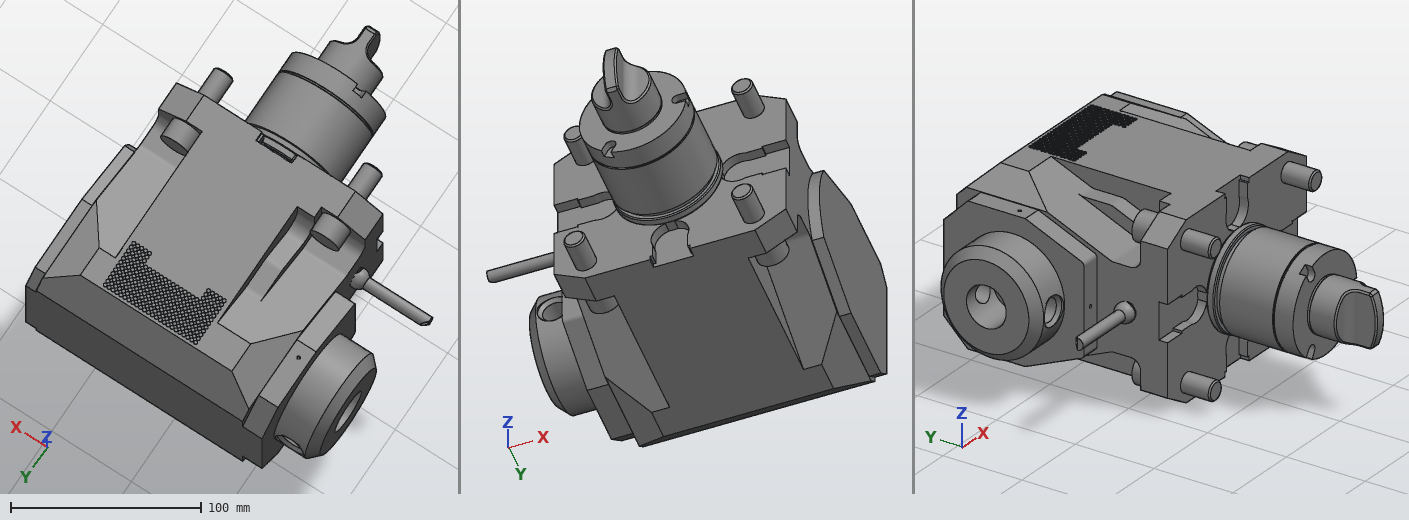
import cadquery as cq
import math


HALF_WIDTH = 65.0
HALF_HEIGHT = 54.0
BACK_Y = 133.8
SIDE_BEVEL_WIDTH = 17.3
SIDE_BEVEL_ANGLE = 30.0
BACK_CHAMFER = 16.0
FLANGE_THICKNESS = 17.0

SLOPE = math.tan(math.radians(23.0))
RECESS_WALL_X = 37.5
RECESS_TOP_Y = 99.8
RECESS_FLOOR_Z = 26.5
RECESS_FILLET = 6.5
LEDGE_WALL_X = -26.8
LEDGE_Z = 42.7
LEDGE_EDGE_Y = 54.0
LEDGE_END_Y = 23.8
LEDGE_FILLET = 8.5
CUT_MARGIN = 4.5

SLOT_DEPTH = 5.6
SLOT_MOUTH_HALF = 11.2
SLOT_MOUTH_LENGTH_X = 13.3
SLOT_MOUTH_LENGTH_Z = 2.7
SLOT_NECK_HALF = 10.0
SLOT_END_RADIUS = 10.5
SLOT_END_CENTER = 38.7

PLATE_HALF_HEIGHT = 43.5
DRIVE_Y = 89.7
LEFT_PLATE_THICKNESS = 12.1
LEFT_PLATE_FRONT_Y = 44.7
LEFT_PLATE_SLOPE_Y = 82.0
LEFT_PLATE_CHAMFER = 15.3
LEFT_PLATE_FILLET = 3.0
PIN_HOLE_DIAMETER = 1.8
PIN_HOLE_DEPTH = 2.2
RIGHT_PLATE_THICKNESS = 6.5
RIGHT_PLATE_SLOPE_Y = 80.3
RIGHT_PLATE_RADIUS = 56.9
RIGHT_PLATE_CORNER_Z = 26.8
RIGHT_PLATE_CHAMFER = 9.0

COLLAR_DIAMETER = 65.2
COLLAR_LENGTH = 25.2
COLLAR_CHAMFER = 5.6
COLLAR_BORE = 25.2
CROSS_HOLE_DIAMETER = 14.0
CROSS_HOLE_MOUTH = 18.0
CROSS_HOLE_SETBACK = 10.0

PIPE_Y = 25.9
PIPE_DIAMETER = 7.0
PIPE_TIP_X = -111.0
OUTLET_DIAMETER = 4.0
OUTLET_DEPTH = 3.5
BALL_DIAMETER = 12.0
BALL_X = -66.8

BOLT_X = 47.0
BOLT_Z = 42.0
BOLT_HEAD_DIAMETER = 18.0
BOLT_HEAD_HEIGHT = 11.7
BOLT_DIAMETER = 12.0
BOLT_REACH = 18.5
BOLT_CHAMFER = 1.0

SLEEVE_RADIUS = 30.0
RING_RADIUS = 30.3
RING_START = 1.1
RING_END = 5.8
RING_CHAMFER = 0.7
NECK_RADIUS = 28.5
SEAL_GROOVE_RADIUS = 27.7
SEAL_GROOVE_END = 9.2
NOSE_GROOVE_START = 42.7
NOSE_GROOVE_END = 43.8
NOSE_GROOVE_RADIUS = 29.0
NOSE_END = 55.8
KEY_COUNT = 3
KEY_WIDTH = 6.3
KEY_DEPTH = 4.3
KEY_CENTER_RADIUS = 25.2

SHAFT_DIAMETER = 33.5
SHAFT_RADIUS = SHAFT_DIAMETER / 2
SHAFT_RELIEF_DIAMETER = 33.0
SHAFT_RELIEF_LENGTH = 1.3
SHOULDER = 73.7
TONGUE_THICKNESS = 7.5
TONGUE_HALF = TONGUE_THICKNESS / 2
TONGUE_FILLET = 6.3
TONGUE_EDGE_CHAMFER = 1.0
TIP_CHAMFER_START = 85.9
TIP_CHAMFER_LENGTH = 2.0
TIP_CHAMFER_DROP = 1.3
TIP = 91.0

DOT_DIAMETER = 2.1
DOT_PITCH = 2.5
DOT_COLUMNS = 24
DOT_ROWS = 12
DOT_DEPTH = 0.5
DOT_FIELD_X = (LEDGE_WALL_X + RECESS_WALL_X) / 2
DOT_FIELD_Y = 101.4
SHORT_ROWS = 3
SHORT_ROW_DOTS = 5


def x_cylinder(diameter, x_start, x_end, y):
    """Cylinder along X at height zero."""
    return cq.Workplane("YZ", origin=(x_start, y, 0)).circle(diameter / 2).extrude(x_end - x_start)


def y_cylinder(diameter, y_start, y_end, x, z):
    """Cylinder along Y."""
    return cq.Workplane("XZ", origin=(x, y_start, z)).circle(diameter / 2).extrude(y_start - y_end)


def slab_x(profile_yz, x_start, x_end):
    """Closed YZ outline extruded along X."""
    return cq.Workplane("YZ", origin=(x_start, 0, 0)).polyline(profile_yz).close().extrude(x_end - x_start)


def make_housing():
    flat_half = HALF_WIDTH - SIDE_BEVEL_WIDTH
    bevel_z = HALF_HEIGHT - SIDE_BEVEL_WIDTH * math.tan(math.radians(SIDE_BEVEL_ANGLE))
    outline = [
        (-HALF_WIDTH, -bevel_z),
        (-flat_half, -HALF_HEIGHT),
        (flat_half, -HALF_HEIGHT),
        (HALF_WIDTH, -bevel_z),
        (HALF_WIDTH, bevel_z),
        (flat_half, HALF_HEIGHT),
        (-flat_half, HALF_HEIGHT),
        (-HALF_WIDTH, bevel_z),
    ]
    body = cq.Workplane("XZ").polyline(outline).close().extrude(-BACK_Y)
    chamfer_y = BACK_Y - BACK_CHAMFER
    chamfer_z = HALF_HEIGHT - BACK_CHAMFER
    side = [
        (0, -HALF_HEIGHT),
        (chamfer_y, -HALF_HEIGHT),
        (BACK_Y, -chamfer_z),
        (BACK_Y, chamfer_z),
        (chamfer_y, HALF_HEIGHT),
        (0, HALF_HEIGHT),
    ]
    return body.intersect(slab_x(side, -HALF_WIDTH, HALF_WIDTH))


def bolt_recess():
    """Relief on the upper right of the housing: flange back, floor and rising slope."""
    top_z = HALF_HEIGHT + CUT_MARGIN
    foot_y = RECESS_TOP_Y - (HALF_HEIGHT - RECESS_FLOOR_Z) / SLOPE
    profile = [
        (FLANGE_THICKNESS, top_z),
        (FLANGE_THICKNESS, RECESS_FLOOR_Z),
        (foot_y, RECESS_FLOOR_Z),
        (RECESS_TOP_Y + CUT_MARGIN / SLOPE, top_z),
    ]
    recess = slab_x(profile, RECESS_WALL_X, HALF_WIDTH + CUT_MARGIN)
    return recess.edges("|X").edges("<Z").fillet(RECESS_FILLET)


def ledge_cut():
    """Stepped widening of the upper left relief, with a flat ledge between two slopes."""
    top_z = HALF_HEIGHT + CUT_MARGIN
    ledge_back_y = RECESS_TOP_Y - (HALF_HEIGHT - LEDGE_Z) / SLOPE
    low_z = LEDGE_Z - (LEDGE_EDGE_Y - LEDGE_END_Y) * SLOPE
    profile = [
        (LEDGE_END_Y, top_z),
        (LEDGE_END_Y, low_z),
        (LEDGE_EDGE_Y, LEDGE_Z),
        (ledge_back_y, LEDGE_Z),
        (RECESS_TOP_Y + CUT_MARGIN / SLOPE, top_z),
    ]
    cut = slab_x(profile, -RECESS_WALL_X, LEDGE_WALL_X)
    below_top = cq.selectors.BoxSelector(
        (-HALF_WIDTH, 0, 0), (HALF_WIDTH, BACK_Y, HALF_HEIGHT)
    )
    return cut.edges("|X").edges(below_top).fillet(LEDGE_FILLET)


def face_slot(outer_half, mouth_length):
    """Slot in the flange face, running inward from the +X edge to the spindle."""
    neck_length = outer_half - SLOT_END_CENTER
    mouth = cq.Workplane("XY").box(mouth_length, SLOT_DEPTH, 2 * SLOT_MOUTH_HALF)
    mouth = mouth.translate((outer_half - mouth_length / 2, SLOT_DEPTH / 2, 0))
    neck = cq.Workplane("XY").box(neck_length, SLOT_DEPTH, 2 * SLOT_NECK_HALF)
    neck = neck.translate((outer_half - neck_length / 2, SLOT_DEPTH / 2, 0))
    end = y_cylinder(2 * SLOT_END_RADIUS, SLOT_DEPTH, 0, SLOT_END_CENTER, 0)
    return mouth.union(neck).union(end)


def make_left_plate():
    corner_z = PLATE_HALF_HEIGHT - (LEFT_PLATE_SLOPE_Y - LEFT_PLATE_FRONT_Y) * SLOPE
    upper = [
        (LEFT_PLATE_FRONT_Y, corner_z),
        (LEFT_PLATE_SLOPE_Y, PLATE_HALF_HEIGHT),
        (BACK_Y - LEFT_PLATE_CHAMFER, PLATE_HALF_HEIGHT),
        (BACK_Y, PLATE_HALF_HEIGHT - LEFT_PLATE_CHAMFER),
    ]
    lower = [(y, -z) for y, z in reversed(upper)]
    outer_x = -HALF_WIDTH - LEFT_PLATE_THICKNESS
    plate = slab_x(upper + lower, outer_x, -HALF_WIDTH)
    plate = plate.edges("|X").edges("<Y").fillet(LEFT_PLATE_FILLET)
    middle_x = -HALF_WIDTH - LEFT_PLATE_THICKNESS / 2
    top_hole = (
        cq.Workplane("XY", origin=(middle_x, DRIVE_Y, PLATE_HALF_HEIGHT))
        .circle(PIN_HOLE_DIAMETER / 2)
        .extrude(-PIN_HOLE_DEPTH)
    )
    front_hole = y_cylinder(
        PIN_HOLE_DIAMETER, LEFT_PLATE_FRONT_Y + PIN_HOLE_DEPTH, LEFT_PLATE_FRONT_Y, middle_x, 0
    )
    return plate.cut(top_hole).cut(front_hole)


def make_right_plate():
    corner_reach = math.sqrt(RIGHT_PLATE_RADIUS**2 - RIGHT_PLATE_CORNER_Z**2)
    corner_y = DRIVE_Y - corner_reach
    chamfer_y = BACK_Y - RIGHT_PLATE_CHAMFER
    chamfer_z = PLATE_HALF_HEIGHT - RIGHT_PLATE_CHAMFER
    return (
        cq.Workplane("YZ", origin=(HALF_WIDTH, 0, 0))
        .moveTo(corner_y, RIGHT_PLATE_CORNER_Z)
        .lineTo(RIGHT_PLATE_SLOPE_Y, PLATE_HALF_HEIGHT)
        .lineTo(chamfer_y, PLATE_HALF_HEIGHT)
        .lineTo(BACK_Y, chamfer_z)
        .lineTo(BACK_Y, -chamfer_z)
        .lineTo(chamfer_y, -PLATE_HALF_HEIGHT)
        .lineTo(RIGHT_PLATE_SLOPE_Y, -PLATE_HALF_HEIGHT)
        .lineTo(corner_y, -RIGHT_PLATE_CORNER_Z)
        .threePointArc((DRIVE_Y - RIGHT_PLATE_RADIUS, 0), (corner_y, RIGHT_PLATE_CORNER_Z))
        .close()
        .extrude(RIGHT_PLATE_THICKNESS)
    )


def make_collar():
    """Drive collar with a bore and a countersunk cross hole through it along Y."""
    base_x = -HALF_WIDTH - LEFT_PLATE_THICKNESS
    end_x = base_x - COLLAR_LENGTH
    collar = x_cylinder(COLLAR_DIAMETER, end_x, base_x, DRIVE_Y)
    collar = collar.faces("<X").chamfer(COLLAR_CHAMFER)
    collar = collar.cut(x_cylinder(COLLAR_BORE, end_x, base_x, DRIVE_Y))

    radius = COLLAR_DIAMETER / 2
    hole_radius = CROSS_HOLE_DIAMETER / 2
    mouth_radius = CROSS_HOLE_MOUTH / 2
    mouth_end = math.sqrt(radius**2 - mouth_radius**2)
    taper_end = mouth_end - (mouth_radius - hole_radius)
    cross_hole = (
        cq.Workplane("XY", origin=(base_x - CROSS_HOLE_SETBACK, DRIVE_Y, 0))
        .moveTo(0, -radius)
        .lineTo(mouth_radius, -radius)
        .lineTo(mouth_radius, -mouth_end)
        .lineTo(hole_radius, -taper_end)
        .lineTo(hole_radius, taper_end)
        .lineTo(mouth_radius, mouth_end)
        .lineTo(mouth_radius, radius)
        .lineTo(0, radius)
        .close()
        .revolve(360, (0, 0), (0, 1))
    )
    return collar.cut(cross_hole)


def make_pipe():
    """Coolant pipe on a ball seat; half of its tip is cut at 45 degrees and carries an outlet hole."""
    radius = PIPE_DIAMETER / 2
    pipe = x_cylinder(PIPE_DIAMETER, PIPE_TIP_X, BALL_X, PIPE_Y)
    bevel = (
        cq.Workplane("XY", origin=(PIPE_TIP_X, PIPE_Y, -radius))
        .polyline([(0, 0), (radius, radius), (0, radius)])
        .close()
        .extrude(PIPE_DIAMETER)
    )
    outlet_plane = cq.Plane(
        origin=(PIPE_TIP_X + radius / 2, PIPE_Y + radius / 2, 0), xDir=(0, 0, 1), normal=(1, -1, 0)
    )
    outlet = cq.Workplane(outlet_plane).circle(OUTLET_DIAMETER / 2).extrude(OUTLET_DEPTH)
    ball = cq.Workplane("XY", origin=(BALL_X, PIPE_Y, 0)).sphere(BALL_DIAMETER / 2)
    return pipe.cut(bevel).cut(outlet).union(ball)


def make_bolt(x, z):
    head_y = FLANGE_THICKNESS + BOLT_HEAD_HEIGHT
    head = y_cylinder(BOLT_HEAD_DIAMETER, head_y, FLANGE_THICKNESS, x, z)
    shank = y_cylinder(BOLT_DIAMETER, FLANGE_THICKNESS, -BOLT_REACH, x, z)
    return head.union(shank.faces("<Y").chamfer(BOLT_CHAMFER))


def make_sleeve():
    """Turned spindle sleeve with a locating ring, two grooves and three keyways in its nose."""
    profile = [
        (0, SLOT_DEPTH),
        (NECK_RADIUS, SLOT_DEPTH),
        (NECK_RADIUS, -RING_START),
        (RING_RADIUS - RING_CHAMFER, -RING_START),
        (RING_RADIUS, -RING_START - RING_CHAMFER),
        (RING_RADIUS, -RING_END + RING_CHAMFER),
        (RING_RADIUS - RING_CHAMFER, -RING_END),
        (SEAL_GROOVE_RADIUS, -RING_END),
        (SEAL_GROOVE_RADIUS, -SEAL_GROOVE_END),
        (SLEEVE_RADIUS, -SEAL_GROOVE_END),
        (SLEEVE_RADIUS, -NOSE_GROOVE_START),
        (NOSE_GROOVE_RADIUS, -NOSE_GROOVE_START),
        (NOSE_GROOVE_RADIUS, -NOSE_GROOVE_END),
        (SLEEVE_RADIUS, -NOSE_GROOVE_END),
        (SLEEVE_RADIUS, -NOSE_END),
        (0, -NOSE_END),
    ]
    sleeve = cq.Workplane("XY").polyline(profile).close().revolve(360, (0, 0), (0, 1))
    keyway_start = KEY_DEPTH - NOSE_END
    keyway = y_cylinder(KEY_WIDTH, keyway_start, -NOSE_END, KEY_CENTER_RADIUS, 0)
    channel = cq.Workplane("XY").box(KEY_WIDTH, KEY_DEPTH, KEY_WIDTH)
    channel = channel.translate((KEY_CENTER_RADIUS + KEY_WIDTH / 2, keyway_start - KEY_DEPTH / 2, 0))
    keyway = keyway.union(channel)
    for index in range(KEY_COUNT):
        sleeve = sleeve.cut(keyway.rotate((0, 0, 0), (0, 1, 0), index * 360 / KEY_COUNT))
    return sleeve


def make_shaft():
    """Output shaft whose end is milled on both sides to a drive tongue with a rounded tip."""
    relief = y_cylinder(SHAFT_RELIEF_DIAMETER, -NOSE_END, -NOSE_END - SHAFT_RELIEF_LENGTH, 0, 0)
    shaft = y_cylinder(SHAFT_DIAMETER, -NOSE_END - SHAFT_RELIEF_LENGTH, -TIP, 0, 0)

    tip_half = SHAFT_RADIUS - TIP_CHAMFER_DROP
    tip_edge = TIP_CHAMFER_START + TIP_CHAMFER_LENGTH
    side_outline = (
        cq.Workplane("YZ", origin=(-SHAFT_RADIUS, 0, 0))
        .moveTo(-NOSE_END, -SHAFT_RADIUS)
        .lineTo(-TIP_CHAMFER_START, -SHAFT_RADIUS)
        .lineTo(-tip_edge, -tip_half)
        .threePointArc((-TIP, 0), (-tip_edge, tip_half))
        .lineTo(-TIP_CHAMFER_START, SHAFT_RADIUS)
        .lineTo(-NOSE_END, SHAFT_RADIUS)
        .close()
        .extrude(SHAFT_DIAMETER)
    )
    arc_offset = TONGUE_FILLET * (1 - math.sqrt(0.5))
    milling = (
        cq.Workplane("XY", origin=(0, 0, -SHAFT_RADIUS))
        .moveTo(TONGUE_HALF, -TIP)
        .lineTo(TONGUE_HALF, -SHOULDER - TONGUE_FILLET)
        .threePointArc(
            (TONGUE_HALF + arc_offset, -SHOULDER - arc_offset),
            (TONGUE_HALF + TONGUE_FILLET, -SHOULDER),
        )
        .lineTo(SHAFT_RADIUS, -SHOULDER)
        .lineTo(SHAFT_RADIUS, -TIP)
        .close()
        .extrude(SHAFT_DIAMETER)
    )
    shaft = shaft.intersect(side_outline).cut(milling).cut(milling.mirror("YZ"))
    half_thickness = TONGUE_HALF - TONGUE_EDGE_CHAMFER / 2
    for side in (-1, 1):
        milled_side = cq.selectors.BoxSelector(
            (side * half_thickness, -TIP - CUT_MARGIN, -SHAFT_RADIUS),
            (side * SHAFT_RADIUS, TONGUE_EDGE_CHAMFER / 2 - SHOULDER, SHAFT_RADIUS),
        )
        shaft = shaft.edges(milled_side).edges("not |Z").chamfer(TONGUE_EDGE_CHAMFER)
    return relief.union(shaft)


def make_dots():
    """Field of shallow round dots; the last rows keep only a few dots at each end."""
    points = []
    for row in range(DOT_ROWS):
        y = DOT_FIELD_Y + ((DOT_ROWS - 1) / 2 - row) * DOT_PITCH
        for column in range(DOT_COLUMNS):
            from_end = min(column, DOT_COLUMNS - 1 - column)
            if row >= DOT_ROWS - SHORT_ROWS and from_end >= SHORT_ROW_DOTS:
                continue
            x = DOT_FIELD_X + (column - (DOT_COLUMNS - 1) / 2) * DOT_PITCH
            points.append((x, y))
    return (
        cq.Workplane("XY", origin=(0, 0, HALF_HEIGHT))
        .pushPoints(points)
        .circle(DOT_DIAMETER / 2)
        .extrude(-DOT_DEPTH)
    )


body = make_housing()
recess = bolt_recess()
for side_recess in (recess, recess.mirror("YZ")):
    body = body.cut(side_recess).cut(side_recess.mirror("XY"))
body = body.cut(ledge_cut())
x_slot = face_slot(HALF_WIDTH, SLOT_MOUTH_LENGTH_X)
z_slot = face_slot(HALF_HEIGHT, SLOT_MOUTH_LENGTH_Z)
for slot, turns in ((x_slot, (0, 180)), (z_slot, (90, 270))):
    for turn in turns:
        body = body.cut(slot.rotate((0, 0, 0), (0, 1, 0), turn))
body = body.cut(make_dots())

body = body.union(make_left_plate()).union(make_right_plate()).union(make_collar())
body = body.union(make_pipe()).union(make_sleeve()).union(make_shaft())
for x in (-BOLT_X, BOLT_X):
    for z in (-BOLT_Z, BOLT_Z):
        body = body.union(make_bolt(x, z))

result = body